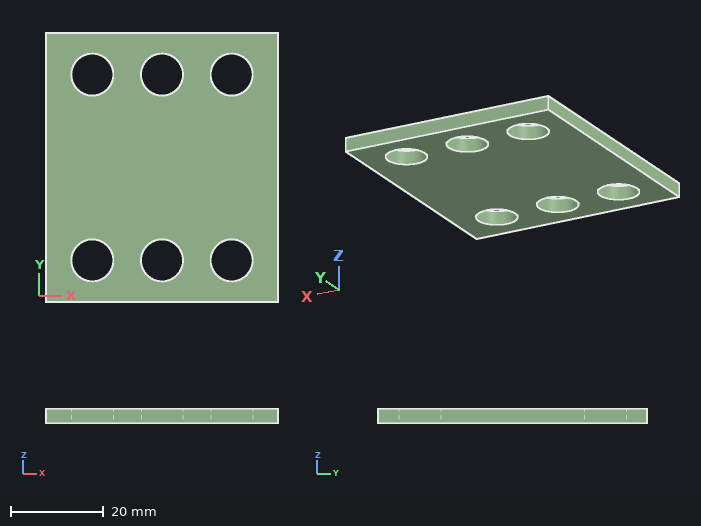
import cadquery as cq

plate_width = 50.0
plate_length = 58.0
plate_thickness = 3.2

hole_diameter = 9.0
holes_per_row = 3
hole_pitch = 15.0
row_count = 2
row_spacing = 40.0


def make_plate():
    """Flat rectangular plate centred on the origin."""
    return cq.Workplane("XY").box(plate_width, plate_length, plate_thickness)


def drill_holes(plate):
    """Drill the centred grid of holes through the plate."""
    return (
        plate.faces(">Z")
        .workplane()
        .rarray(hole_pitch, row_spacing, holes_per_row, row_count)
        .hole(hole_diameter)
    )


result = drill_holes(make_plate())